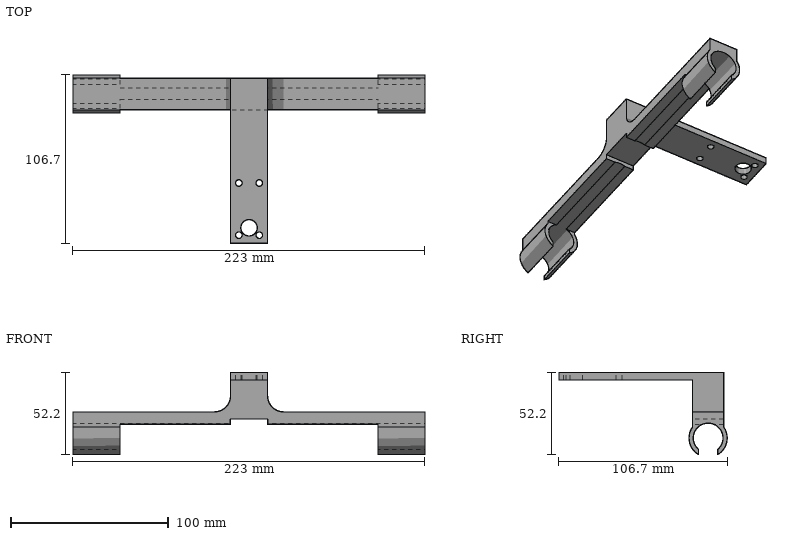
import cadquery as cq
import math

bar_length = 223.0
bar_width = 20.0
bar_thickness = 8.0
bar_half = bar_length / 2
relief_depth = 3.3

arm_width = 23.6
arm_half = arm_width / 2
arm_thickness = 5.0
arm_reach = 84.5
post_height = 25.0
blend_radius = 10.0
arm_top = bar_thickness + post_height
arm_end = -bar_width / 2 - arm_reach

clip_length = 29.9
clip_outer_diameter = 24.3
clip_outer_radius = clip_outer_diameter / 2
clip_bore_radius = 9.4
clip_bottom = -19.2
clip_mouth_half = 6.0
clip_axis_z = clip_bottom + math.sqrt(clip_outer_radius**2 - clip_mouth_half**2)

screw_diameter = 4.0
screw_spacing_x = 13.0
screw_spacing_y = 33.0
screw_end_margin = 5.1
port_diameter = 10.3
port_end_margin = 9.8


def make_bar_and_post():
    """T-shaped profile with concave blends, extruded across the bar width."""
    blend_x = arm_half + blend_radius
    blend_z = bar_thickness + blend_radius
    blend_mid_offset = blend_radius * math.sqrt(0.5)
    blend_mid_x = blend_x - blend_mid_offset
    blend_mid_z = blend_z - blend_mid_offset
    return (
        cq.Workplane("XZ")
        .moveTo(-bar_half, 0)
        .lineTo(-arm_half, 0)
        .lineTo(-arm_half, relief_depth)
        .lineTo(arm_half, relief_depth)
        .lineTo(arm_half, 0)
        .lineTo(bar_half, 0)
        .lineTo(bar_half, bar_thickness)
        .lineTo(blend_x, bar_thickness)
        .threePointArc((blend_mid_x, blend_mid_z), (arm_half, blend_z))
        .lineTo(arm_half, arm_top)
        .lineTo(-arm_half, arm_top)
        .lineTo(-arm_half, blend_z)
        .threePointArc((-blend_mid_x, blend_mid_z), (-blend_x, bar_thickness))
        .lineTo(-bar_half, bar_thickness)
        .close()
        .extrude(bar_width / 2, both=True)
    )


def make_arm():
    """Flat arm flush with the post top, drilled for four screws and a port."""
    arm = cq.Workplane("XY").box(
        arm_width, arm_reach + bar_width, arm_thickness, centered=(True, False, False)
    ).translate((0, arm_end, arm_top - arm_thickness))
    screw_centre_y = arm_end + screw_end_margin + screw_spacing_y / 2
    holes = (
        cq.Workplane("XY", origin=(0, screw_centre_y, arm_top))
        .rarray(screw_spacing_x, screw_spacing_y, 2, 2)
        .circle(screw_diameter / 2)
        .extrude(-arm_thickness)
    )
    port = (
        cq.Workplane("XY", origin=(0, arm_end + port_end_margin, arm_top))
        .circle(port_diameter / 2)
        .extrude(-arm_thickness)
    )
    return arm.cut(holes).cut(port)


def make_clip(start_x):
    """Clip body: a cylinder joined to the bar by a block, open at the bottom."""
    section = cq.Workplane("YZ", origin=(start_x, 0, 0))
    cylinder = section.center(0, clip_axis_z).circle(clip_outer_radius).extrude(clip_length)
    bridge = cq.Workplane("XY", origin=(start_x, 0, clip_axis_z)).box(
        clip_length, bar_width, -clip_axis_z, centered=(False, True, False)
    )
    mouth_height = clip_axis_z - clip_bottom + clip_outer_radius
    mouth = cq.Workplane("XY", origin=(start_x, 0, clip_axis_z)).box(
        clip_length, 2 * clip_mouth_half, mouth_height, centered=(False, True, False)
    ).translate((0, 0, -mouth_height))
    return cylinder.union(bridge).cut(mouth)


result = make_bar_and_post().union(make_arm())
for clip_start_x in (-bar_half, bar_half - clip_length):
    result = result.union(make_clip(clip_start_x))

bore = (
    cq.Workplane("YZ", origin=(-bar_half, 0, clip_axis_z))
    .circle(clip_bore_radius)
    .extrude(bar_length)
)
result = result.cut(bore)